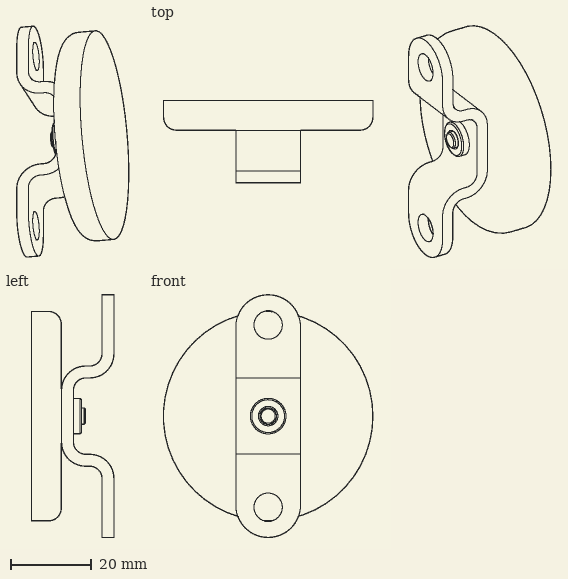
import cadquery as cq

base_diameter = 51.8
base_thickness = 7.4
rim_radius = 3.2

strip_thickness = 3.0
strip_width = 16.0
bracket_length = 60.0
seat_half_height = 6.4
inner_bend_radius = 3.0
outer_bend_radius = inner_bend_radius + strip_thickness
bridge_length = 1.0
screw_hole_diameter = 7.0
screw_hole_height = 22.5

stud_diameter = 4.1
stud_chamfer = 0.3
stud_projection = 0.9
nut_diameter = 8.8
nut_thickness = 2.0
nut_outer_chamfer = 0.35
nut_bore_chamfer = 0.35
countersink_angle = 90

bracket_depth = 2 * outer_bend_radius + bridge_length
first_bend_depth = outer_bend_radius
second_bend_depth = first_bend_depth + bridge_length
bridge_inner_z = seat_half_height + inner_bend_radius
bridge_outer_z = seat_half_height + outer_bend_radius
second_bend_z = bridge_outer_z + inner_bend_radius
nut_top_depth = strip_thickness + nut_thickness
stud_length = nut_top_depth + stud_projection


def outward_plane(depth):
    """XZ plane at the given depth, with its normal along -Y."""
    return cq.Workplane("XZ", origin=(0, -depth, 0))


def make_base():
    return (
        outward_plane(-base_thickness)
        .circle(base_diameter / 2)
        .extrude(base_thickness)
        .faces("<Y")
        .edges()
        .fillet(rim_radius)
    )


def make_bent_arm():
    """Upper half of the bent strip, from the middle of the seat to the foot end."""
    profile = (
        cq.Workplane("YZ", origin=(-strip_width / 2, 0, 0))
        .moveTo(0, 0)
        .lineTo(0, seat_half_height)
        .radiusArc((-first_bend_depth, bridge_outer_z), -outer_bend_radius)
        .lineTo(-second_bend_depth, bridge_outer_z)
        .radiusArc((-bracket_depth + strip_thickness, second_bend_z), inner_bend_radius)
        .lineTo(-bracket_depth + strip_thickness, bracket_length / 2)
        .lineTo(-bracket_depth, bracket_length / 2)
        .lineTo(-bracket_depth, second_bend_z)
        .radiusArc((-second_bend_depth, bridge_inner_z), -outer_bend_radius)
        .lineTo(-first_bend_depth, bridge_inner_z)
        .radiusArc((-strip_thickness, seat_half_height), inner_bend_radius)
        .lineTo(-strip_thickness, 0)
        .close()
    )
    return profile.extrude(strip_width)


def make_bracket():
    arm = make_bent_arm()
    strip = arm.union(arm.mirror("XY")).clean()
    rounded_outline = (
        outward_plane(0)
        .slot2D(bracket_length, strip_width, 90)
        .extrude(bracket_depth)
    )
    screw_holes = (
        outward_plane(0)
        .pushPoints([(0, screw_hole_height), (0, -screw_hole_height)])
        .circle(screw_hole_diameter / 2)
        .extrude(bracket_depth)
    )
    stud_hole = outward_plane(0).circle(stud_diameter / 2).extrude(strip_thickness)
    return strip.intersect(rounded_outline).cut(screw_holes).cut(stud_hole)


def make_nut():
    return (
        outward_plane(strip_thickness)
        .circle(nut_diameter / 2)
        .extrude(nut_thickness)
        .faces("<Y")
        .edges()
        .chamfer(nut_outer_chamfer)
        .faces("<Y")
        .workplane()
        .cskHole(stud_diameter, stud_diameter + 2 * nut_bore_chamfer, countersink_angle)
    )


def make_stud():
    return (
        outward_plane(0)
        .circle(stud_diameter / 2)
        .extrude(stud_length)
        .faces("<Y")
        .edges()
        .chamfer(stud_chamfer)
    )


base = make_base()
bracket = make_bracket()
nut = make_nut()
stud = make_stud()

result = cq.Compound.makeCompound([
    base.solids().val(),
    bracket.solids().val(),
    nut.solids().val(),
    stud.solids().val(),
])